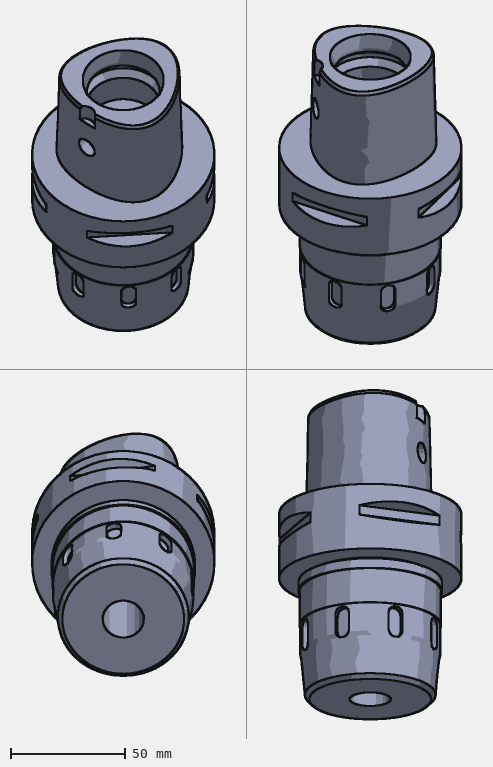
import cadquery as cq
import math


taper_length = 48.0
taper_mean_diameter = 55.0
taper_eccentricity = 2.0
taper_ratio = 1 / 20
taper_chamfer_height = 1.6
taper_chamfer_width = 0.8
section_points = 72

notch_radius = 5.0
notch_bottom_y = -21.7
notch_depth = 8.0

cross_hole_diameter = 9.0
cross_hole_z = 25.0
cross_hole_floor_y = -18.0

mouth_radius = 17.75
bore_radius = 16.0
mouth_cone_depth = 6.4
groove_radius = 19.0
groove_top_depth = 8.0
groove_wall_top_depth = 10.6
groove_wall_bottom_depth = 13.1
groove_bottom_depth = 16.1
bore_depth = 30.0
through_hole_radius = 9.0

flange_radius = 40.0
flange_thickness = 30.0
gripper_count = 4
gripper_z = -12.0
gripper_floor_distance = 35.3
gripper_floor_height = 4.3
gripper_mouth_height = 8.8
gripper_angle = 45.0

neck_radius = 28.2
neck_bottom = -31.6
collar_radius = 31.5
collar_bottom = -36.0
nut_radius = 31.0
nut_bottom = -51.8
slot_band_radius = 30.75
slot_band_bottom = -65.0
nose_top_radius = 30.3
nose_top = -67.0
nose_bottom_radius = 28.7
body_bottom = -86.0
nose_chamfer = 2.0

slot_count = 8
slot_width = 6.5
slot_length = 14.0
slot_z = -59.9
slot_floor_distance = 28.0


def lobed_section(z, inset=0.0):
    """Closed three-lobed section at height z, one lobe pointing to +Y."""
    radius = (taper_mean_diameter - taper_ratio * z) / 2 - inset
    points = []
    for index in range(section_points):
        angle = 2 * math.pi * index / section_points
        x = radius * math.sin(angle) + taper_eccentricity * math.sin(2 * angle)
        y = -radius * math.cos(angle) + taper_eccentricity * math.cos(2 * angle)
        points.append(cq.Vector(x, y, z))
    return cq.Wire.assembleEdges([cq.Edge.makeSpline(points, periodic=True)])


def make_taper():
    chamfer_start = taper_length - taper_chamfer_height
    shank = cq.Solid.makeLoft([lobed_section(0), lobed_section(chamfer_start)], True)
    tip = cq.Solid.makeLoft(
        [lobed_section(chamfer_start), lobed_section(taper_length, taper_chamfer_width)], True
    )
    return cq.Workplane(obj=shank).union(cq.Workplane(obj=tip))


def revolve_profile(points):
    """Revolve a closed (radius, z) outline about the Z axis."""
    return cq.Workplane("XZ").polyline(points).close().revolve(360, (0, 0, 0), (0, 1, 0))


def make_body():
    return revolve_profile([
        (0, 0),
        (flange_radius, 0),
        (flange_radius, -flange_thickness),
        (neck_radius, -flange_thickness),
        (neck_radius, neck_bottom),
        (collar_radius, neck_bottom),
        (collar_radius, collar_bottom),
        (nut_radius, collar_bottom),
        (nut_radius, nut_bottom),
        (slot_band_radius, nut_bottom),
        (slot_band_radius, slot_band_bottom),
        (nose_top_radius, nose_top),
        (nose_bottom_radius, body_bottom + nose_chamfer),
        (nose_bottom_radius - nose_chamfer, body_bottom),
        (0, body_bottom),
    ])


def make_bore():
    return revolve_profile([
        (0, taper_length),
        (mouth_radius, taper_length),
        (bore_radius, taper_length - mouth_cone_depth),
        (bore_radius, taper_length - groove_top_depth),
        (groove_radius, taper_length - groove_wall_top_depth),
        (groove_radius, taper_length - groove_wall_bottom_depth),
        (bore_radius, taper_length - groove_bottom_depth),
        (bore_radius, taper_length - bore_depth),
        (through_hole_radius, taper_length - bore_depth),
        (through_hole_radius, body_bottom),
        (0, body_bottom),
    ])


def make_key_notch():
    return (
        cq.Workplane("XY", origin=(0, notch_bottom_y - notch_radius, taper_length - notch_depth))
        .circle(notch_radius)
        .extrude(notch_depth)
    )


def make_cross_hole():
    return (
        cq.Workplane("XZ", origin=(0, cross_hole_floor_y, cross_hole_z))
        .circle(cross_hole_diameter / 2)
        .extrude(flange_radius + cross_hole_floor_y)
    )


def make_gripper_groove(angle):
    """V-flanked groove across the flange, cut square to the given direction."""
    floor_half = gripper_floor_height / 2
    mouth_half = gripper_mouth_height / 2
    return (
        cq.Workplane("XZ", origin=(0, 0, gripper_z))
        .moveTo(gripper_floor_distance, -floor_half)
        .lineTo(flange_radius, -mouth_half)
        .lineTo(flange_radius, mouth_half)
        .lineTo(gripper_floor_distance, floor_half)
        .close()
        .extrude(flange_radius, both=True)
        .rotate((0, 0, 0), (0, 0, 1), angle)
    )


def make_spanner_slot(angle):
    """Round-ended upright slot cut into the nut down to a flat floor."""
    return (
        cq.Workplane("YZ", origin=(slot_floor_distance, 0, slot_z))
        .slot2D(slot_length, slot_width, 90)
        .extrude(collar_radius - slot_floor_distance)
        .rotate((0, 0, 0), (0, 0, 1), angle)
    )


result = make_body().union(make_taper())
result = result.cut(make_bore())
result = result.cut(make_key_notch())
result = result.cut(make_cross_hole())
for index in range(gripper_count):
    result = result.cut(make_gripper_groove(gripper_angle + index * 360 / gripper_count))
for index in range(slot_count):
    result = result.cut(make_spanner_slot(index * 360 / slot_count))